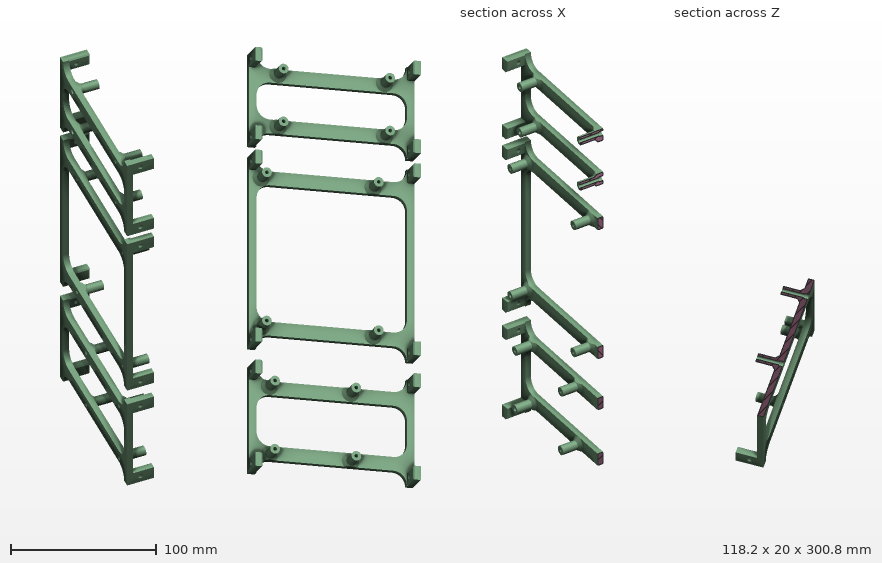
import cadquery as cq
frame_width = 118.2
plate_thickness = 4.5
rail_width = 10.0
side_width = 5.5
corner_radius = 9.5
window_width = frame_width - 2 * side_width

standoff_diameter = 7.0
standoff_end = 19.0
flare_height = 2.5
flare_diameter = 12.0
bore_diameter = 2.6
counterbore_diameter = 4.0
counterbore_depth = 3.0

ear_overhang = 1.02
frame_depth = standoff_end + ear_overhang
ear_chamfer = 1.0
ear_hole_diameter = 3.3
ear_hole_y = frame_depth / 2

stack_height = 300.8
upper_height = 66.2
middle_height = 137.8
lower_height = 76.5
upper_gap = 7.5

upper_z = (stack_height - upper_height) / 2
middle_z = stack_height / 2 - upper_height - upper_gap - middle_height / 2
lower_z = (lower_height - stack_height) / 2


def block(width, height, front_y, back_y, x=0.0, z=0.0):
    """Box centred at x and z that reaches from front_y to back_y."""
    return cq.Workplane("XZ", origin=(x, front_y, z)).rect(width, height).extrude(front_y - back_y)


def cylinder(diameter, front_y, back_y, x, z):
    """Cylinder along Y that reaches from front_y to back_y."""
    return cq.Workplane("XZ", origin=(x, front_y, z)).circle(diameter / 2).extrude(front_y - back_y)


def make_plate(height, thickness):
    """Two rails between two sides: a rounded window, and a rounded notch at the top and bottom."""
    plate = block(frame_width, height, 0, thickness)
    window_height = height - 4 * rail_width
    openings = [(window_height, 0), (2 * rail_width, height / 2), (2 * rail_width, -height / 2)]
    for opening_height, z in openings:
        opening = block(window_width, opening_height, 0, thickness, z=z)
        plate = plate.cut(opening.edges("|Y").fillet(corner_radius))
    return plate


def make_ear(height, x_side, z_side):
    """Ear behind one tip of the plate, with the rim of its inner face chamfered."""
    x = x_side * (frame_width - side_width) / 2
    z = z_side * (height - rail_width) / 2
    ear = block(side_width, rail_width, plate_thickness, frame_depth, x, z)
    inner_face = "<X" if x_side > 0 else ">X"
    rim = ear.faces(inner_face).edges("|Y or >Y")
    return rim.chamfer(ear_chamfer)


def make_standoff(x, z):
    """Post on a conical flare that starts at the back of the plate."""
    flare = (
        cq.Workplane("XZ", origin=(x, plate_thickness, z))
        .circle(flare_diameter / 2)
        .workplane(offset=-flare_height)
        .circle(standoff_diameter / 2)
        .loft()
    )
    return flare.union(cylinder(standoff_diameter, plate_thickness, standoff_end, x, z))


def make_frame(height, center_z, pattern_center, pattern_size, counterbored):
    """One frame with four standoffs at the corners of a rectangle.

    The X, Z place of the rectangle's centre is measured from the middle of the frame.
    """
    frame = make_plate(height, plate_thickness)

    for z_side in (-1, 1):
        for x_side in (-1, 1):
            frame = frame.union(make_ear(height, x_side, z_side))
        hole_z = z_side * (height - rail_width) / 2
        hole = (
            cq.Workplane("YZ", origin=(-frame_width / 2, ear_hole_y, hole_z))
            .circle(ear_hole_diameter / 2)
            .extrude(frame_width)
        )
        frame = frame.cut(hole)

    rail_outline = make_plate(height, frame_depth)
    for x_side in (-1, 1):
        for z_side in (-1, 1):
            x = pattern_center[0] + x_side * pattern_size[0] / 2
            z = pattern_center[1] + z_side * pattern_size[1] / 2
            frame = frame.union(make_standoff(x, z).intersect(rail_outline))
            frame = frame.cut(cylinder(bore_diameter, 0, standoff_end, x, z))
            if counterbored:
                frame = frame.cut(cylinder(counterbore_diameter, 0, counterbore_depth, x, z))

    return frame.translate((0, 0, center_z))


upper_frame = make_frame(
    upper_height,
    upper_z,
    pattern_center=(0.45, 0.5),
    pattern_size=(76.0, 38.0),
    counterbored=True,
)
middle_frame = make_frame(
    middle_height,
    middle_z,
    pattern_center=(10.5, 0.3),
    pattern_size=(80.0, 106.5),
    counterbored=False,
)
lower_frame = make_frame(
    lower_height,
    lower_z,
    pattern_center=(15.5, 0),
    pattern_size=(58.0, 49.0),
    counterbored=True,
)

result = cq.Compound.makeCompound([upper_frame.val(), middle_frame.val(), lower_frame.val()])